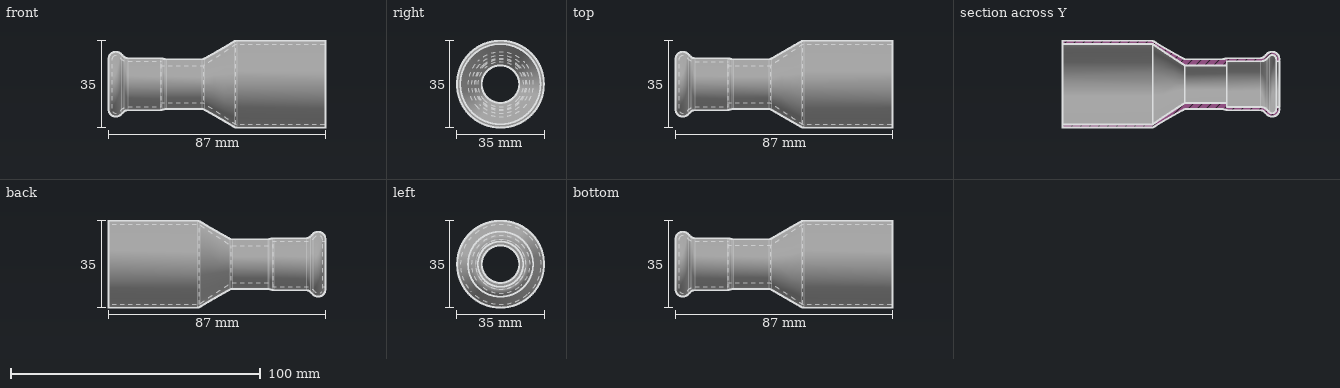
import cadquery as cq
import math

length = 87.0
wall = 1.4

spigot_radius = 35.0 / 2
socket_radius = 21.0 / 2
neck_radius = 20.0 / 2
bead_radius = 13.05

socket_bore_radius = socket_radius - wall
neck_bore_radius = 7.5
spigot_bore_radius = spigot_radius - wall

bead_round = 3.0
bead_center_radius = bead_radius - bead_round
bead_angle = math.radians(45)
bead_blend = 2.2
bead_end = 7.65

step_start = 21.05
step_end = 22.9
step_blend = 1.7

cone_start = 37.9
cone_end = 50.9
cone_start_blend = 1.7
cone_end_blend = 2.1


def arc_point(center, radius, angle):
    """Point on a circle, with the angle measured from the +X direction."""
    return (center[0] + radius * math.cos(angle), center[1] + radius * math.sin(angle))


def point_toward(start, target, distance):
    """Point at the given distance from start on the way to target."""
    share = distance / math.dist(start, target)
    return tuple(a + share * (b - a) for a, b in zip(start, target))


def add_rounded_corner(profile, before, corner, after, radius):
    """Draw a line to the corner and a tangent arc of the given radius around it."""
    heading_in = math.atan2(corner[1] - before[1], corner[0] - before[0])
    heading_out = math.atan2(after[1] - corner[1], after[0] - corner[0])
    half_turn = abs(heading_out - heading_in) / 2
    arc_start = point_toward(corner, before, radius * math.tan(half_turn))
    arc_end = point_toward(corner, after, radius * math.tan(half_turn))
    chord_middle = point_toward(arc_start, arc_end, math.dist(arc_start, arc_end) / 2)
    arc_middle = point_toward(chord_middle, corner, radius * (1 - math.cos(half_turn)))
    return profile.lineTo(*arc_start).threePointArc(arc_middle, arc_end)


def add_bead(profile, offset):
    """Draw the bead from its front to the socket, moved inward by offset."""
    round_radius = bead_round - offset
    blend_radius = bead_blend + offset
    round_center = (bead_round, bead_center_radius)
    blend_center = (bead_end, socket_radius + bead_blend)
    blend_start_angle = bead_angle - math.pi
    blend_end_angle = -math.pi / 2
    blend_middle_angle = (blend_start_angle + blend_end_angle) / 2
    return (
        profile.lineTo(*arc_point(round_center, round_radius, math.pi))
        .threePointArc(
            arc_point(round_center, round_radius, (math.pi + bead_angle) / 2),
            arc_point(round_center, round_radius, bead_angle),
        )
        .lineTo(*arc_point(blend_center, blend_radius, blend_start_angle))
        .threePointArc(
            arc_point(blend_center, blend_radius, blend_middle_angle),
            arc_point(blend_center, blend_radius, blend_end_angle),
        )
    )


def revolve_profile(profile):
    return profile.close().revolve(360, (0, 0, 0), (1, 0, 0))


def make_outer_body():
    path = [
        (bead_end, socket_radius),
        (step_start, socket_radius),
        (step_end, neck_radius),
        (cone_start, neck_radius),
        (cone_end, spigot_radius),
        (length, spigot_radius),
    ]
    blends = [step_blend, step_blend, cone_start_blend, cone_end_blend]
    profile = add_bead(cq.Workplane("XY").moveTo(0, 0), 0)
    for before, corner, after, radius in zip(path, path[1:], path[2:], blends):
        profile = add_rounded_corner(profile, before, corner, after, radius)
    return revolve_profile(profile.lineTo(*path[-1]).lineTo(length, 0))


def make_bore():
    profile = cq.Workplane("XY").lineTo(0, socket_bore_radius).lineTo(wall, socket_bore_radius)
    profile = (
        add_bead(profile, wall)
        .lineTo(step_start, socket_bore_radius)
        .lineTo(step_start, neck_bore_radius)
        .lineTo(cone_start, neck_bore_radius)
        .lineTo(cone_end, spigot_bore_radius)
        .lineTo(length, spigot_bore_radius)
        .lineTo(length, 0)
    )
    return revolve_profile(profile)


result = make_outer_body().cut(make_bore())